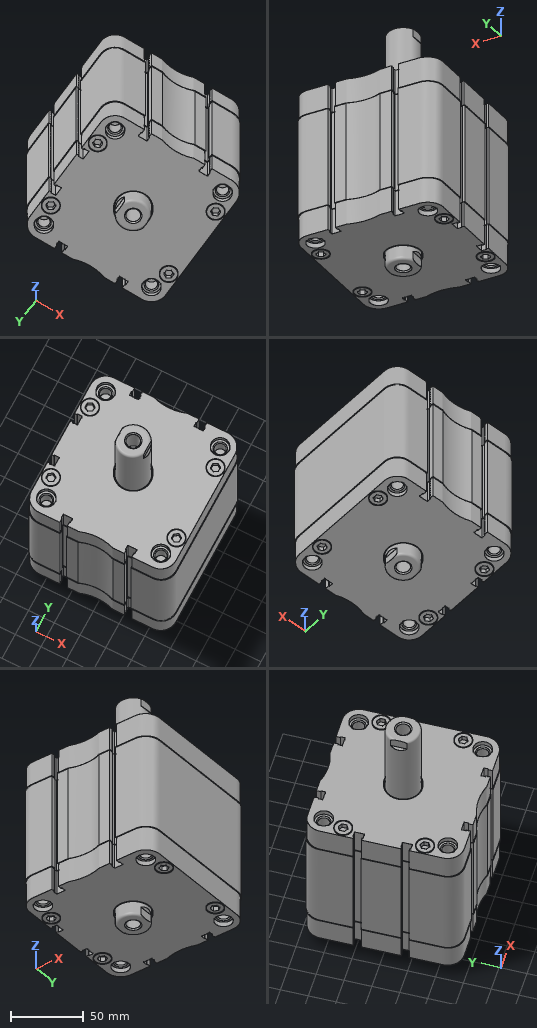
import cadquery as cq
import math

rod_length = 187.0
rod_overhang = 10.1
cap_height = 19.6
body_height = 116.9
upper_cap_top = rod_overhang + body_height
barrel_bottom = rod_overhang + cap_height
barrel_height = body_height - 2 * cap_height

barrel_side = 113.5
corner_radius = 12.0
cap_inset = 0.5
hollow_depth = 2.8
barrel_hollow_width = 27.0
cap_hollow_width = 26.2

face_slot_offset = 25.0
face_slot_depth = 6.5
face_lip = 3.4
side_slot_offset = 17.2
side_slot_depth = 5.8
side_lip = 2.0
slot_head = 7.1
side_slot_neck = 5.8
barrel_face_neck = 5.0
cap_face_neck = 5.8

rod_diameter = 25.0
rod_end_fillet = 2.0
flat_width = 22.0
flat_length = 7.1
thread_diameter = 10.1
thread_mouth = 12.0
thread_depth = 22.5
drill_point_angle = 118.0

rod_recess_mouth = 27.5
rod_recess_mouth_depth = 0.5
rod_recess_diameter = 27.0
rod_recess_depth = 2.0
cap_bore = 25.6
mount_offset = 44.5
mount_bore = 13.5
mount_bore_depth = 3.7
mount_thread_mouth = 10.1
mount_thread = 8.5
mount_depth = 15.0
screw_x = 48.8
screw_y = 29.4
screw_groove_diameter = 13.0
screw_groove_width = 0.28
screw_groove_depth = 0.5
hex_across_flats = 6.0
hex_depth = 3.7


def t_slot(side, inset, depth, lip, neck, height):
    """Cutter for a vertical T-slot in the side x = -side / 2; the inset deepens its floor."""
    lip_bottom = -side / 2 + lip
    slot_bottom = -barrel_side / 2 + depth + inset
    mouth = cq.Workplane("XY").box(2 * lip, neck, height, centered=(True, True, False))
    mouth = mouth.translate((-side / 2, 0, 0))
    head = cq.Workplane("XY").box(slot_bottom - lip_bottom, slot_head, height, centered=(False, True, False))
    return mouth.union(head.translate((lip_bottom, 0, 0)))


def profile_block(inset, face_neck, hollow_width, bore, bottom, height):
    """Square block with rounded corners, T-slots, two hollows and a bore for the rod.

    The inset moves its sides in from those of the barrel.
    """
    side = barrel_side - 2 * inset
    block = cq.Workplane("XY").box(side, side, height, centered=(True, True, False))
    block = block.edges("|Z").fillet(corner_radius)

    side_slot = t_slot(side, inset, side_slot_depth, side_lip, side_slot_neck, height)
    for y in (-side_slot_offset, side_slot_offset):
        block = block.cut(side_slot.translate((0, y, 0)))

    face_slot = t_slot(side, inset, face_slot_depth, face_lip, face_neck, height)
    for angle in (90, -90):
        turned_slot = face_slot.rotate((0, 0, 0), (0, 0, 1), angle)
        for x in (-face_slot_offset, face_slot_offset):
            block = block.cut(turned_slot.translate((x, 0, 0)))

    hollow_bottom = barrel_side / 2 - hollow_depth
    for sign in (-1, 1):
        hollow = (
            cq.Workplane("XY")
            .moveTo(-hollow_width / 2, sign * side / 2)
            .threePointArc((0, sign * hollow_bottom), (hollow_width / 2, sign * side / 2))
            .close()
            .extrude(height)
        )
        block = block.cut(hollow)

    rod_bore = cq.Workplane("XY").circle(bore / 2).extrude(height)
    return block.cut(rod_bore).translate((0, 0, bottom))


def barrel():
    return profile_block(0, barrel_face_neck, barrel_hollow_width, rod_diameter, barrel_bottom, barrel_height)


def mounting_hole():
    """Cutter for a counterbored, threaded hole that opens upward at the origin."""
    chamfer_depth = (mount_thread_mouth - mount_thread) / 2
    return (
        cq.Workplane("XZ")
        .polyline([
            (0, 0),
            (mount_bore / 2, 0),
            (mount_bore / 2, -mount_bore_depth),
            (mount_thread_mouth / 2, -mount_bore_depth),
            (mount_thread / 2, -mount_bore_depth - chamfer_depth),
            (mount_thread / 2, -mount_depth),
            (0, -mount_depth),
        ])
        .close()
        .revolve(360, (0, 0, 0), (0, 1, 0))
    )


def screw_head_relief():
    """Cutter for one screw head: the groove around it and its hexagon socket."""
    hex_corner_diameter = hex_across_flats / math.cos(math.pi / 6)
    groove_radius = screw_groove_diameter / 2
    groove = (
        cq.Workplane("XY")
        .circle(groove_radius)
        .circle(groove_radius - screw_groove_width)
        .extrude(-screw_groove_depth)
    )
    socket = cq.Workplane("XY").polygon(6, hex_corner_diameter).extrude(-hex_depth)
    return groove.union(socket.rotate((0, 0, 0), (0, 0, 1), 30))


def corner_points(x, y):
    return [(i * x, j * y) for i in (-1, 1) for j in (-1, 1)]


def upper_cap():
    """Cap with its outer face up: recess around the rod, mounting holes and grooved screw heads."""
    bottom = upper_cap_top - cap_height
    cap = profile_block(cap_inset, cap_face_neck, cap_hollow_width, cap_bore, bottom, cap_height)
    top = cq.Workplane("XY", origin=(0, 0, upper_cap_top))
    cap = cap.cut(top.circle(rod_recess_mouth / 2).extrude(-rod_recess_mouth_depth))
    cap = cap.cut(top.circle(rod_recess_diameter / 2).extrude(-rod_recess_depth))

    for x, y in corner_points(mount_offset, mount_offset):
        cap = cap.cut(mounting_hole().translate((x, y, upper_cap_top)))
    for x, y in corner_points(screw_x, screw_y):
        cap = cap.cut(screw_head_relief().translate((x, y, upper_cap_top)))
    return cap


def lower_cap(cap):
    """The same cap turned upside down."""
    return cap.mirror("XY", (0, 0, rod_overhang + body_height / 2))


def rod_end_flat():
    """Cutter for one wrench flat at the top end, on the +X side, with a 45 degree run-out."""
    flat_depth = (rod_diameter - flat_width) / 2
    end = rod_length - flat_length
    return (
        cq.Workplane("XZ")
        .polyline([
            (flat_width / 2, rod_length),
            (flat_width / 2, end),
            (flat_width / 2 + 2 * flat_depth, end - 2 * flat_depth),
            (flat_width / 2 + 2 * flat_depth, rod_length),
        ])
        .close()
        .extrude(rod_diameter / 2, both=True)
    )


def thread_hole():
    """Cutter for the threaded hole in the top end, with a countersunk mouth and a drill point."""
    mouth_depth = (thread_mouth - thread_diameter) / 2
    point = thread_diameter / 2 / math.tan(math.radians(drill_point_angle / 2))
    return (
        cq.Workplane("XZ")
        .polyline([
            (0, rod_length),
            (thread_mouth / 2, rod_length),
            (thread_diameter / 2, rod_length - mouth_depth),
            (thread_diameter / 2, rod_length - thread_depth),
            (0, rod_length - thread_depth - point),
        ])
        .close()
        .revolve(360, (0, 0, 0), (0, 1, 0))
    )


def piston_rod():
    """Through rod, alike at both ends."""
    rod = cq.Workplane("XY").circle(rod_diameter / 2).extrude(rod_length)
    rod = rod.faces("<Z or >Z").edges().fillet(rod_end_fillet)
    flat = rod_end_flat()
    end_cut = flat.union(flat.mirror("YZ")).union(thread_hole())
    return rod.cut(end_cut).cut(end_cut.mirror("XY", (0, 0, rod_length / 2)))


cap_on_top = upper_cap()
cap_below = lower_cap(cap_on_top)
tube = barrel()
rod = piston_rod()

result = cq.Compound.makeCompound([tube.val(), cap_on_top.val(), cap_below.val(), rod.val()])